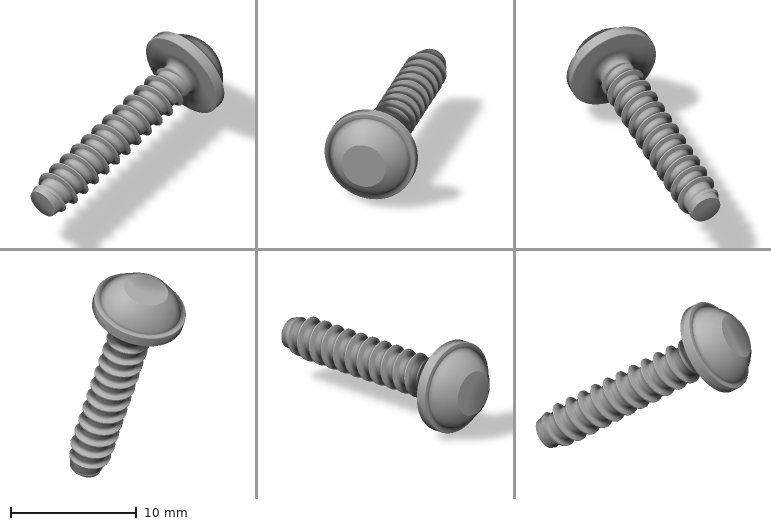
import cadquery as cq
import math


flange_radius = 3.75
flange_thickness = 0.92
flange_edge_fillet = 0.07
head_height = 2.7
dome_base_radius = 3.3
dome_top_radius = 1.82

shank_length = 17.0
point_height = 0.05
core_radius = 1.24
neck_radius = 1.41
neck_fillet = 0.46
neck_end = 0.88
neck_cone_end = 1.5
neck_cone_radius = 1.21

pitch = 1.29
crest_radius = 1.75
crest_width = 0.1
flank_angle = math.radians(16)
root_radius = 1.225
root_fillet = 0.17
tip_flank_root_radius = 1.36
crest_offset = 0.53

run_in_start = 0.6
run_in_start_radius = 1.3
run_in_knee = 1.15
run_in_knee_radius = 1.63
run_in_end = 2.15
run_out_start = 15.25


def revolve_profile(profile):
    """Revolve a closed profile drawn in radius and height about the Z axis."""
    return profile.close().revolve(360, (0, 0, 0), (0, 1, 0))


def make_head():
    """Plain flange with a domed, flat-topped head whose sphere is centred on the axis."""
    flange = cq.Workplane("XY").circle(flange_radius).extrude(-flange_thickness)
    flange = flange.edges().fillet(flange_edge_fillet)

    dome_height = head_height - flange_thickness
    radius_squares = dome_base_radius**2 - dome_top_radius**2
    centre_to_base = (radius_squares - dome_height**2) / (2 * dome_height)
    sphere_radius = math.hypot(dome_base_radius, centre_to_base)
    middle_offset = centre_to_base + dome_height / 2
    middle_radius = math.sqrt(sphere_radius**2 - middle_offset**2)
    dome_middle = flange_thickness + dome_height / 2
    dome = revolve_profile(
        cq.Workplane("XZ")
        .moveTo(0, -flange_thickness / 2)
        .lineTo(dome_base_radius, -flange_thickness / 2)
        .lineTo(dome_base_radius, -flange_thickness)
        .threePointArc((middle_radius, -dome_middle), (dome_top_radius, -head_height))
        .lineTo(0, -head_height)
    )
    return flange.union(dome)


def make_neck():
    """Neck with a fillet under the flange and a short cone that sinks into the threaded core."""
    fillet_foot_radius = neck_radius + neck_fillet
    fillet_middle = neck_fillet * (1 - math.sqrt(0.5))
    buried_depth = flange_thickness / 2
    return revolve_profile(
        cq.Workplane("XZ")
        .moveTo(0, -buried_depth)
        .lineTo(fillet_foot_radius, -buried_depth)
        .lineTo(fillet_foot_radius, 0)
        .threePointArc(
            (neck_radius + fillet_middle, fillet_middle),
            (neck_radius, neck_fillet),
        )
        .lineTo(neck_radius, neck_end)
        .lineTo(neck_cone_radius, neck_cone_end)
        .lineTo(0, neck_cone_end)
    )


def make_thread_envelope():
    """Solid of revolution that limits the thread at both ends and forms the shallow point."""
    point_start = shank_length - point_height
    return revolve_profile(
        cq.Workplane("XZ")
        .moveTo(0, run_in_start)
        .lineTo(run_in_start_radius, run_in_start)
        .lineTo(run_in_knee_radius, run_in_knee)
        .lineTo(crest_radius, run_in_end)
        .lineTo(crest_radius + crest_width, run_in_end + crest_width)
        .lineTo(crest_radius + crest_width, run_out_start - crest_width)
        .lineTo(crest_radius, run_out_start)
        .lineTo(core_radius, point_start)
        .lineTo(0, shank_length)
    )


def thread_profile():
    """Corners (radius, height) of one pitch: root, crest, tip-side flank and sloping valley."""
    half_crest = crest_width / 2
    root_height = -half_crest - (crest_radius - root_radius) * math.tan(flank_angle)
    tip_flank_end = half_crest + (crest_radius - tip_flank_root_radius) * math.tan(flank_angle)
    return [
        (root_radius, root_height),
        (crest_radius, -half_crest),
        (crest_radius, half_crest),
        (tip_flank_root_radius, tip_flank_end),
        (root_radius, root_height + pitch),
    ]


def one_turn(corner, lift):
    """One turn of the helix traced by a profile corner raised by the given lift."""
    radius, height = corner
    return cq.Wire.makeHelix(pitch, pitch, radius, center=cq.Vector(0, 0, height + lift))


def stair_end_faces(profile, lift):
    """Helicoid and upright wall, both reaching the axis, that close one end of the thread."""
    bottom = cq.Vector(0, 0, profile[0][1] + lift)
    top = bottom + cq.Vector(0, 0, pitch)
    axis = cq.Wire.assembleEdges([cq.Edge.makeLine(bottom, top)])
    helicoid = cq.Face.makeRuledSurface(axis, one_turn(profile[0], lift))
    rim = [cq.Vector(radius, 0, height + lift) for radius, height in profile]
    wall = cq.Face.makeFromWires(cq.Wire.makePolygon([bottom, *rim, top], close=True))
    return [helicoid, wall]


def make_threaded_core():
    """Core and thread as one solid of helical bands, overlong at first and then trimmed."""
    profile = thread_profile()
    first_lift = crest_offset - pitch
    turns = math.ceil((shank_length - first_lift) / pitch) + 1

    faces = []
    for turn in range(turns):
        lift = first_lift + turn * pitch
        for lower, upper in zip(profile, profile[1:]):
            faces.append(cq.Face.makeRuledSurface(one_turn(lower, lift), one_turn(upper, lift)))
    for lift in (first_lift, first_lift + turns * pitch):
        faces.extend(stair_end_faces(profile, lift))
    body = cq.Solid.makeSolid(cq.Shell.makeShell(faces))

    root_edges = [edge for edge in body.Edges() if is_root_edge(edge)]
    filleted = cq.Workplane(obj=body.fillet(root_fillet, root_edges))
    return filleted.intersect(make_thread_envelope())


def is_root_edge(edge):
    """True for the helical root edges within the length of the finished shank."""
    middle = edge.positionAt(0.5)
    at_root = math.isclose(math.hypot(middle.x, middle.y), root_radius, abs_tol=0.002)
    return at_root and edge.geomType() != "LINE" and 0 < edge.Center().z < shank_length


screw = make_threaded_core().union(make_neck()).union(make_head())
result = screw.rotate((0, 0, 0), (1, 0, 0), 90)